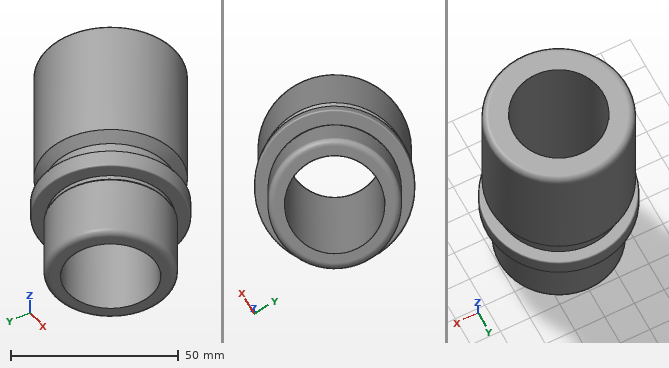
import cadquery as cq

total_height = 79.0
bore_radius = 15.0
shank_radius = 20.0
head_radius = 23.0
collar_radius = 24.0
collar_bottom = 23.0
collar_height = 6.0
neck_height = 6.0
end_fillet = 2.0
collar_edge_fillet = 0.5
groove_depth = 0.6
groove_floor_height = 1.4
groove_slope_height = 0.8

collar_top = collar_bottom + collar_height
cone_bottom = collar_top + neck_height
cone_top = cone_bottom + (head_radius - shank_radius)
groove_radius = shank_radius - groove_depth
groove_floor_bottom = collar_bottom - groove_floor_height
groove_bottom = groove_floor_bottom - groove_slope_height


def cylinder(radius, bottom, top):
    """Solid cylinder on the Z axis between two heights."""
    return cq.Workplane("XY").workplane(offset=bottom).circle(radius).extrude(top - bottom)


def make_shank():
    """Lower spigot with a rounded end, the relief groove, and the neck."""
    profile = [
        (0, 0),
        (shank_radius, 0),
        (shank_radius, groove_bottom),
        (groove_radius, groove_floor_bottom),
        (groove_radius, collar_bottom),
        (shank_radius, collar_bottom),
        (shank_radius, cone_bottom),
        (0, cone_bottom),
    ]
    shank = cq.Workplane("XZ").polyline(profile).close().revolve(360, (0, 0), (0, 1))
    return shank.faces("<Z").edges().fillet(end_fillet)


def make_collar():
    """Locating collar with both outer edges lightly rounded."""
    return cylinder(collar_radius, collar_bottom, collar_top).edges("%CIRCLE").fillet(collar_edge_fillet)


def make_head():
    """Upper body: a cone widening from the neck, then a cylinder with a rounded top."""
    profile = [
        (0, cone_bottom),
        (shank_radius, cone_bottom),
        (head_radius, cone_top),
        (head_radius, total_height),
        (0, total_height),
    ]
    head = cq.Workplane("XZ").polyline(profile).close().revolve(360, (0, 0), (0, 1))
    return head.faces(">Z").edges().fillet(end_fillet)


outer_body = make_shank().union(make_collar()).union(make_head())
bore = cylinder(bore_radius, 0, total_height)
result = outer_body.cut(bore)